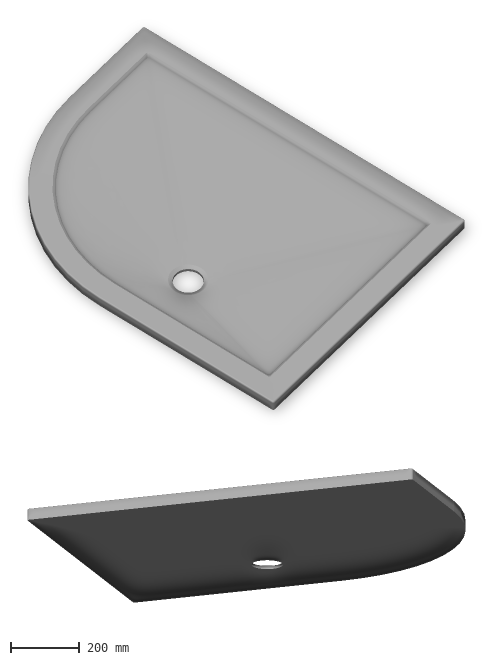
import cadquery as cq
import math

LENGTH = 1199.0
WIDTH = 900.0
HEIGHT = 35.0
ENTRY_RADIUS = 550.0
CORNER_RADIUS = 6.0
EDGE_ROUND = 5.0

RIM_INNER_INSET = 71.0
RIM_INNER_HEIGHT = 34.0
WALL_FOOT_INSET = 80.0
WALL_FOOT_HEIGHT = 26.0

DRAIN_X = 699.0
DRAIN_Y = 229.0
DRAIN_RADIUS = 59.0
DRAIN_HEIGHT = 14.0
HOLE_RADIUS = 45.0
HOLE_SEAT_HEIGHT = 10.0
DRAIN_START_ANGLE = 148.0


def tray_corners(inset):
    """Arc centre, radius and start angle of each corner, clockwise from -X, +Y."""
    reach = inset + CORNER_RADIUS
    return [
        (reach, WIDTH - reach, CORNER_RADIUS, 180),
        (LENGTH - reach, WIDTH - reach, CORNER_RADIUS, 90),
        (LENGTH - reach, reach, CORNER_RADIUS, 0),
        (ENTRY_RADIUS, ENTRY_RADIUS, ENTRY_RADIUS - inset, -90),
    ]


def polar(center_x, center_y, radius, angle, z):
    turn = math.radians(angle)
    return cq.Vector(center_x + radius * math.cos(turn), center_y + radius * math.sin(turn), z)


def clockwise_arc(center_x, center_y, radius, start, sweep, z):
    angles = (start, start - sweep / 2, start - sweep)
    return cq.Edge.makeThreePointArc(*[polar(center_x, center_y, radius, a, z) for a in angles])


def tray_outline(inset, z):
    """Edges of the closed tray outline, offset inwards, with alternating corner arcs and straights."""
    arcs = [clockwise_arc(x, y, radius, start, 90, z) for x, y, radius, start in tray_corners(inset)]
    edges = []
    for arc, next_arc in zip(arcs, arcs[1:] + arcs[:1]):
        edges.append(arc)
        edges.append(cq.Edge.makeLine(arc.endPoint(), next_arc.startPoint()))
    return edges


def drain_outline(z):
    """Drain circle split in proportion to the edges around the foot of the basin wall."""
    foot = tray_outline(WALL_FOOT_INSET, z)
    perimeter = sum(edge.Length() for edge in foot)
    angle = DRAIN_START_ANGLE
    arcs = []
    for edge in foot:
        sweep = 360 * edge.Length() / perimeter
        arcs.append(clockwise_arc(DRAIN_X, DRAIN_Y, DRAIN_RADIUS, angle, sweep, z))
        angle -= sweep
    return arcs


def ruled_solid(upper, lower):
    """Solid between two outlines, with one ruled face for each matching pair of edges."""
    faces = [cq.Face.makeRuledSurface(top, bottom) for top, bottom in zip(upper, lower)]
    faces += [cq.Face.makeFromWires(cq.Wire.assembleEdges(edges)) for edges in (upper, lower)]
    solid = cq.Solid.makeSolid(cq.Shell.makeShell(faces)).fix()
    return cq.Workplane(obj=solid)


base_outline = cq.Wire.assembleEdges(tray_outline(0, 0))
slab = cq.Workplane(obj=cq.Solid.extrudeLinear(base_outline, [], cq.Vector(0, 0, HEIGHT)))
slab = slab.faces(">Z").edges().fillet(EDGE_ROUND)

rim_outer = tray_outline(EDGE_ROUND, HEIGHT)
rim_inner = tray_outline(RIM_INNER_INSET, RIM_INNER_HEIGHT)
wall_foot = tray_outline(WALL_FOOT_INSET, WALL_FOOT_HEIGHT)
drain_rim = drain_outline(DRAIN_HEIGHT)

rim = ruled_solid(rim_outer, rim_inner)
wall = ruled_solid(rim_inner, wall_foot)
floor = ruled_solid(wall_foot, drain_rim)
drain_seat = cq.Workplane(
    obj=cq.Solid.makeCone(
        HOLE_RADIUS,
        DRAIN_RADIUS,
        DRAIN_HEIGHT - HOLE_SEAT_HEIGHT,
        cq.Vector(DRAIN_X, DRAIN_Y, HOLE_SEAT_HEIGHT),
    )
)
hole = cq.Workplane("XY").center(DRAIN_X, DRAIN_Y).circle(HOLE_RADIUS).extrude(HEIGHT)

result = slab
for cavity in (rim, wall, floor, drain_seat, hole):
    result = result.cut(cavity)
result = cq.Workplane(obj=result.solids().val())